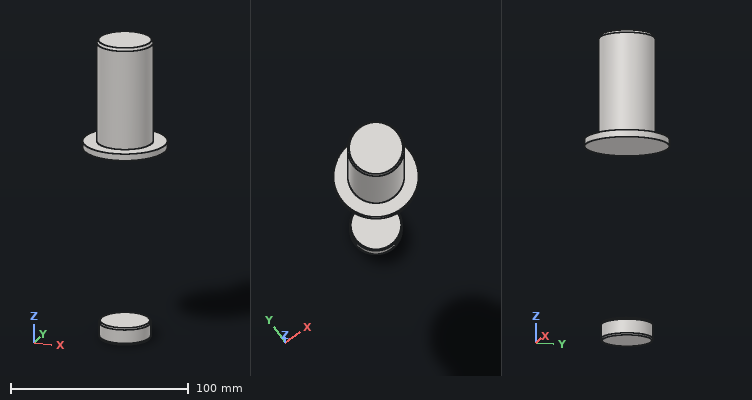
import cadquery as cq

TOTAL_HEIGHT = 176.5

FLANGE_DIAMETER = 48.0
FLANGE_THICKNESS = 4.0
SHANK_DIAMETER = 32.0
PIN_LENGTH = 64.0
SHANK_CHAMFER_HEIGHT = 1.8
SHANK_CHAMFER_INSET = 0.9

DISC_DIAMETER = 29.5
DISC_THICKNESS = 10.0
DISC_CHAMFER_HEIGHT = 1.0
DISC_CHAMFER_INSET = 0.58


def make_flanged_pin():
    """Round shank on a flange, with a steep chamfer around its free end."""
    flange_radius = FLANGE_DIAMETER / 2
    shank_radius = SHANK_DIAMETER / 2
    profile = (
        cq.Workplane("XZ")
        .lineTo(flange_radius, 0)
        .lineTo(flange_radius, FLANGE_THICKNESS)
        .lineTo(shank_radius, FLANGE_THICKNESS)
        .lineTo(shank_radius, PIN_LENGTH - SHANK_CHAMFER_HEIGHT)
        .lineTo(shank_radius - SHANK_CHAMFER_INSET, PIN_LENGTH)
        .lineTo(0, PIN_LENGTH)
        .close()
    )
    pin = profile.revolve(360, (0, 0, 0), (0, 1, 0))
    return pin.translate((0, 0, TOTAL_HEIGHT - PIN_LENGTH))


def make_disc():
    """Flat disc with a steep chamfer on both rims, standing at the bottom."""
    rim_radius = DISC_DIAMETER / 2
    face_radius = rim_radius - DISC_CHAMFER_INSET
    profile = (
        cq.Workplane("XZ")
        .lineTo(face_radius, 0)
        .lineTo(rim_radius, DISC_CHAMFER_HEIGHT)
        .lineTo(rim_radius, DISC_THICKNESS - DISC_CHAMFER_HEIGHT)
        .lineTo(face_radius, DISC_THICKNESS)
        .lineTo(0, DISC_THICKNESS)
        .close()
    )
    return profile.revolve(360, (0, 0, 0), (0, 1, 0))


flanged_pin = make_flanged_pin()
disc = make_disc()

result = cq.Compound.makeCompound([flanged_pin.val(), disc.val()])